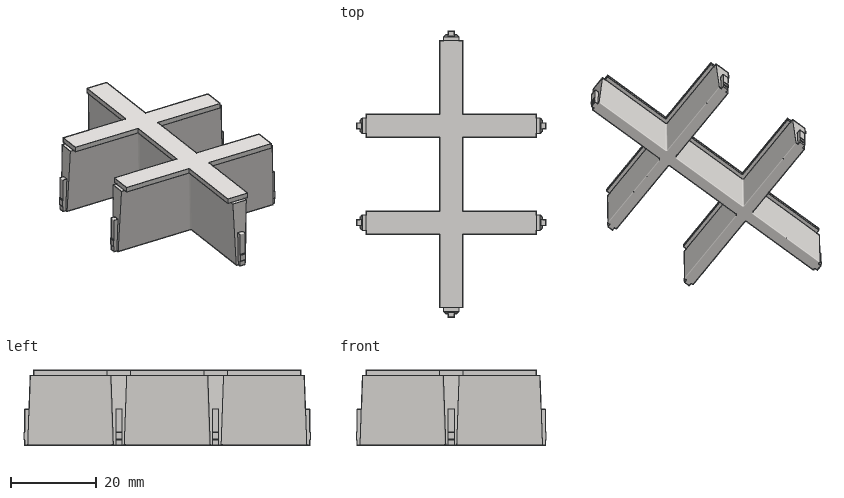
import cadquery as cq
import math

overall_x = 44.3
overall_y = 66.8
height = 17.5

cap_width = 5.4
cap_thickness = 1.2
cap_inset = 2.3
cross_spacing = 22.6

wall_height = height - cap_thickness
wall_bottom_width = 2.55
draft_angle = 2.0
draft = wall_height * math.tan(math.radians(draft_angle))
wall_inset = 0.9
inner_corner_radius = 0.3
bottom_edge_radius = 0.2

tab_width = 1.4
tab_height = 8.4
tab_top_radius = 0.2
bump_depth = 0.15
bump_bevel_height = 0.2
bump_bottom = 1.2
bump_top = 3.15

cross_positions = (-cross_spacing / 2, cross_spacing / 2)


def lay_out(along_x, along_y):
    """Union one copy along Y at the centre and one copy along X at each cross position."""
    body = along_y.rotate((0, 0, 0), (0, 0, 1), 90)
    for y in cross_positions:
        body = body.union(along_x.translate((0, y, 0)))
    return body


def cap_strip(overall_length):
    length = overall_length - 2 * cap_inset
    return (
        cq.Workplane("XY")
        .workplane(offset=wall_height)
        .rect(length, cap_width)
        .extrude(cap_thickness)
    )


def wall(overall_length):
    """Wall along X that widens upward while its ends lean inward."""
    bottom_length = overall_length - 2 * wall_inset
    return (
        cq.Workplane("XY")
        .rect(bottom_length, wall_bottom_width)
        .workplane(offset=wall_height)
        .rect(bottom_length - 2 * draft, wall_bottom_width + 2 * draft)
        .loft(ruled=True)
    )


def tab_bar(overall_length):
    """Bar along X whose two ends form the tabs, with a rounded top edge and a snap bump."""
    tip = overall_length / 2
    face = tip - bump_depth
    right_side = [
        (face, 0),
        (face, bump_bottom),
        (tip, bump_bottom + bump_bevel_height),
        (tip, bump_top - bump_bevel_height),
        (face, bump_top),
        (face, tab_height),
    ]
    left_side = [(-x, z) for x, z in reversed(right_side)]
    bar = (
        cq.Workplane("XZ")
        .polyline(right_side + left_side)
        .close()
        .extrude(tab_width / 2, both=True)
    )
    return bar.faces(">Z").edges("|Y").fillet(tab_top_radius)


def round_inner_corners(body):
    """Fillet the upright corners where the long wall meets each cross wall."""
    reach = cap_width / 2
    for y in cross_positions:
        crossing = cq.selectors.BoxSelector(
            (-reach, y - reach, wall_height / 4),
            (reach, y + reach, wall_height * 3 / 4),
        )
        body = body.edges(crossing).fillet(inner_corner_radius)
    return body


def round_bottom_edges(body):
    """Fillet the bottom edges along the wall sides, leaving the wall ends sharp."""
    half_x = overall_x / 2 - wall_inset - wall_bottom_width
    half_y = overall_y / 2 - wall_inset - wall_bottom_width
    sides = cq.selectors.BoxSelector(
        (-half_x, -half_y, -bottom_edge_radius),
        (half_x, half_y, bottom_edge_radius),
    )
    return body.edges(sides).fillet(bottom_edge_radius)


walls = lay_out(wall(overall_x), wall(overall_y))
walls = round_bottom_edges(round_inner_corners(walls))
cap = lay_out(cap_strip(overall_x), cap_strip(overall_y))
tabs = lay_out(tab_bar(overall_x), tab_bar(overall_y))

result = walls.union(cap).union(tabs)